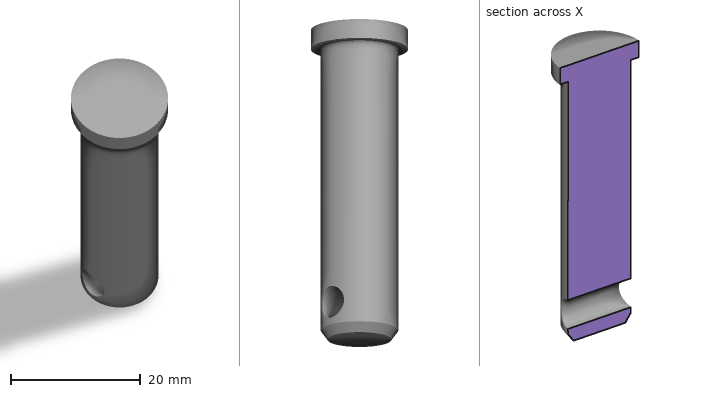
import cadquery as cq

total_length = 49.0
head_diameter = 15.0
head_height = 3.0
shank_diameter = 12.0
shank_length = total_length - head_height

chamfer_height = 1.45
chamfer_depth = 1.1

hole_diameter = 5.0
hole_height = 5.0


def make_pin():
    """Revolve the half profile of the shank and head about Z."""
    shank_radius = shank_diameter / 2
    head_radius = head_diameter / 2
    profile = (
        cq.Workplane("XZ")
        .moveTo(0, 0)
        .lineTo(shank_radius - chamfer_depth, 0)
        .lineTo(shank_radius, chamfer_height)
        .lineTo(shank_radius, shank_length)
        .lineTo(head_radius, shank_length)
        .lineTo(head_radius, total_length)
        .lineTo(0, total_length)
        .close()
    )
    return profile.revolve(360, (0, 0, 0), (0, 1, 0))


def make_cross_hole():
    """Cylinder that passes right through the shank."""
    return (
        cq.Workplane("XZ")
        .center(0, hole_height)
        .circle(hole_diameter / 2)
        .extrude(head_diameter / 2, both=True)
    )


result = make_pin().cut(make_cross_hole())